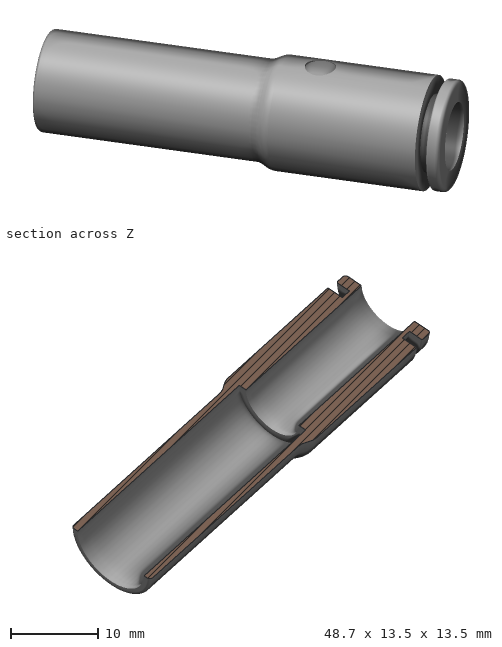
import cadquery as cq
import math

total_length = 48.7
shoulder_start = 25.95
body_end = 45.9
flange_thickness = 1.55

tube_radius = 6.0
body_diameter = 13.5
body_radius = body_diameter / 2
collar_radius = 4.6
flange_radius = 6.55

tube_end_round = 0.45
flange_inner_round = 0.25
flange_outer_round = 0.45

shoulder_arc_radius = 2.0
shoulder_angle = math.radians(28)

tube_bore_radius = 5.0
collar_bore_radius = 4.0

recess_center_x = 32.75
recess_radius = 1.8
recess_floor_z = 6.5


def shoulder_arc_point(angle):
    """Axial run and radial rise along a shoulder arc from its level end."""
    run = shoulder_arc_radius * math.sin(angle)
    rise = shoulder_arc_radius * (1 - math.cos(angle))
    return run, rise


arc_run, arc_rise = shoulder_arc_point(shoulder_angle)
mid_run, mid_rise = shoulder_arc_point(shoulder_angle / 2)
cone_rise = body_radius - tube_radius - 2 * arc_rise
cone_run = cone_rise / math.tan(shoulder_angle)
shoulder_end = shoulder_start + 2 * arc_run + cone_run
flange_start = total_length - flange_thickness


def outer_body():
    """Revolve the stepped outer profile about X."""
    profile = (
        cq.Workplane("XY")
        .lineTo(0, tube_radius)
        .lineTo(shoulder_start, tube_radius)
        .threePointArc(
            (shoulder_start + mid_run, tube_radius + mid_rise),
            (shoulder_start + arc_run, tube_radius + arc_rise),
        )
        .lineTo(shoulder_end - arc_run, body_radius - arc_rise)
        .threePointArc(
            (shoulder_end - mid_run, body_radius - mid_rise),
            (shoulder_end, body_radius),
        )
        .lineTo(body_end, body_radius)
        .lineTo(body_end, collar_radius)
        .lineTo(flange_start, collar_radius)
        .lineTo(flange_start, 0)
        .close()
    )
    return profile.revolve(360, (0, 0, 0), (1, 0, 0)).faces("<X").edges().fillet(tube_end_round)


def end_flange():
    """Rounded disc at the end of the collar."""
    disc = cylinder_along_x(flange_start, total_length, flange_radius)
    disc = disc.faces("<X").edges().fillet(flange_inner_round)
    return disc.faces(">X").edges().fillet(flange_outer_round)


def cylinder_along_x(start, end, radius):
    return cq.Workplane("YZ", origin=(start, 0, 0)).circle(radius).extrude(end - start)


def top_recess():
    """Cutter with a flat floor just below the top of the body."""
    return (
        cq.Workplane("XY", origin=(recess_center_x, 0, recess_floor_z))
        .circle(recess_radius)
        .extrude(body_radius - recess_floor_z)
    )


result = (
    outer_body()
    .union(end_flange())
    .cut(cylinder_along_x(0, shoulder_end, tube_bore_radius))
    .cut(cylinder_along_x(0, total_length, collar_bore_radius))
    .cut(top_recess())
)